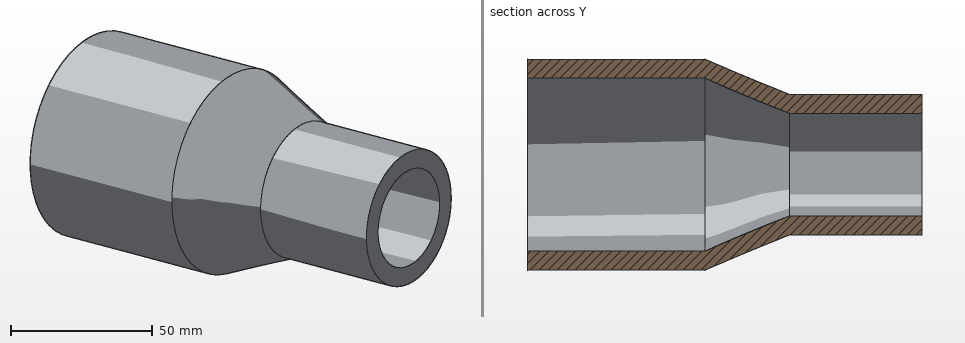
import cadquery as cq

total_length = 140.0
wide_length = 63.0
narrow_length = 47.0
wide_diameter = 75.0
narrow_diameter = 50.0
wall = 6.9

taper_start = wide_length
taper_end = total_length - narrow_length


def stepped_cone(large_diameter, small_diameter):
    """Solid of revolution about X: wide cylinder, taper, narrow cylinder."""
    large_radius = large_diameter / 2
    small_radius = small_diameter / 2
    half_profile = [
        (0, 0),
        (0, large_radius),
        (taper_start, large_radius),
        (taper_end, small_radius),
        (total_length, small_radius),
        (total_length, 0),
    ]
    return cq.Workplane("XY").polyline(half_profile).close().revolve(360, (0, 0, 0), (1, 0, 0))


body = stepped_cone(wide_diameter, narrow_diameter)
bore = stepped_cone(wide_diameter - 2 * wall, narrow_diameter - 2 * wall)

result = body.cut(bore)